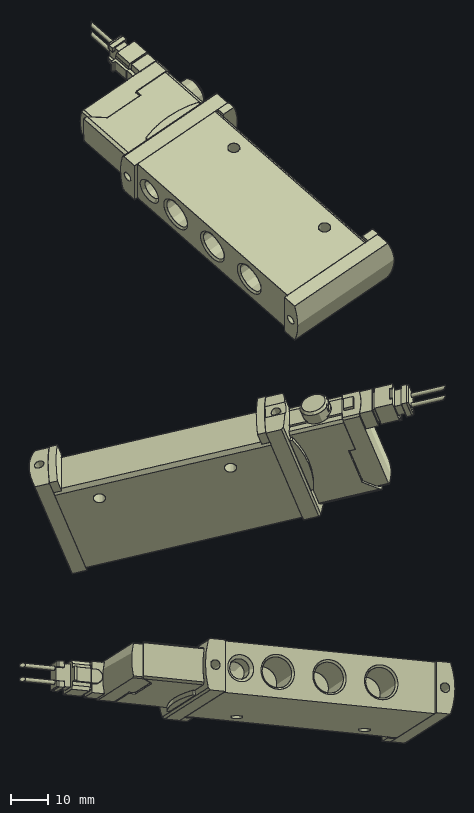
import cadquery as cq
import math


LENGTH = 115.1
WIDTH = 34.8
THICKNESS = 14.4

BLOCK_START = 48.7
BLOCK_END = 109.7
BLOCK_FRONT = 1.0
BLOCK_BACK = 29.8
BLOCK_EDGE = 1.0
TAB_LENGTH = 2.3
CROSS_HOLE_DIAMETER = 3.2
CROSS_HOLE_X = (61.6, 98.6)
CROSS_HOLE_Y = 24.2

PORT_DIAMETER = 8.5
PORT_MOUTH_DIAMETER = 9.7
PORT_DEPTH = 11.5
PORT_FIRST_X = 64.2
PORT_PITCH = 15.0
PORT_COUNT = 3
PILOT_PORT_X = 53.5
PILOT_PORT_DIAMETER = 5.6
PILOT_PORT_MOUTH_DIAMETER = 7.5
PILOT_PORT_DEPTH = 4.6
DRILL_POINT_HALF_ANGLE = 59.0

CAP_START = 43.0
CAP_CROWN = 0.8
CAP_BEVEL = 0.6
FAR_CAP_CROWN = 1.3
CAP_BACK = 34.5
BACK_CROWN = 1.2
CAP_HOLE_DIAMETER = 2.6
NEAR_CAP_HOLE_X = 45.8
FAR_CAP_HOLE_X = 112.3
GROOVE_WIDTH = 4.6
GROOVE_DEPTH = 0.9

LIP_REACH = 1.6
LIP_BOTTOM = 9.1
LIP_TOP = 28.1
LIP_SPAN = 12.9

PILOT_START = 25.8
PILOT_END = CAP_START + CAP_CROWN
PILOT_FRONT = 2.0
PILOT_BACK = BLOCK_BACK
PILOT_THICKNESS = 10.4
PILOT_BEVEL_Y = 0.9
PILOT_BEVEL_Z = 0.6
RIDGE_BACK = 30.4
RIDGE_THICKNESS = 5.8

COVER_START = 23.5
COVER_BULGE = 0.6
COVER_FRONT = 3.2
COVER_BACK = 30.3
COVER_THICKNESS = 9.8
COVER_BEVEL_Y = 0.7
COVER_BEVEL_Z = 0.3
COVER_JOINT = 28.2
HOOK_END = 29.8
HOOK_BOTTOM = 6.9
HOOK_TOP = 18.4
COVER_GAP = 0.2
BUMP_START = 24.9
BUMP_END = 27.6
BUMP_BACK = 31.1
BUMP_WIDTH = 3.9

BUTTON_X = 35.2
BUTTON_DIAMETER = 8.1
BUTTON_TOP = 33.7
BUTTON_BEVEL = 0.7
BUTTON_SLOT_WIDTH = 3.9
BUTTON_SLOT_DEPTH = 0.6

SOCKET_START = 19.8
SOCKET_FRONT = 24.3
SOCKET_BACK = 30.2
SOCKET_THICKNESS = 8.8

PLUG_START = 13.9
PLUG_THICKNESS = 8.1
PLUG_END = 19.1
PLUG_FRONT = 23.8
PLUG_BACK = 30.5
PLUG_BEVEL_Y = 0.5
PLUG_BEVEL_Z = 1.0
PLUG_TONGUE_INSET = 0.6
PLUG_FLANGE_LENGTH = 0.7
PLUG_FLANGE_BACK = 30.9
LATCH_FRONT = 23.0
LATCH_WIDTH = 3.9
LATCH_END = 22.5
LATCH_STEP = 0.2
LATCH_LIP_FRONT = 22.2
COLLAR_START = 9.8
COLLAR_LENGTH = 2.1
COLLAR_RIM = 0.6
COLLAR_STEP = 0.1
COLLAR_FRONT = 24.5
COLLAR_BACK = 29.5
COLLAR_THICKNESS = 7.4
COLLAR_NOTCH = 3.9
NECK_FRONT = 25.3
NECK_BACK = 28.8
NECK_THICKNESS = 6.5

LEAD_DIAMETER = 1.3
LEAD_Y = 26.7
LEAD_SPACING = 3.9


def block(x_range, y_range, thickness):
    """Box between two X and two Y values, centred on Z = 0."""
    x_size = x_range[1] - x_range[0]
    y_size = y_range[1] - y_range[0]
    box = cq.Workplane("XY").box(x_size, y_size, thickness)
    return box.translate((x_range[0] + x_size / 2, y_range[0] + y_size / 2, 0))


def plate(points, thickness):
    """Polygon in the XY plane, thickened evenly about Z = 0."""
    return cq.Workplane("XY").polyline(points).close().extrude(thickness / 2, both=True)


def pin_y(x, y_start, y_end, diameter):
    """Cylinder along Y, centred on Z = 0."""
    circle = cq.Workplane("XZ", origin=(x, y_start, 0)).circle(diameter / 2)
    return circle.extrude(y_start - y_end)


def turned_y(x, profile):
    """Solid of revolution about a line along Y at the given X; the profile lists (radius, y)."""
    sketch = cq.Workplane("XY", origin=(x, 0, 0)).polyline(profile).close()
    return sketch.revolve(360, (0, 0, 0), (0, 1, 0))


def near_cap_outline():
    """Near cap in the XZ plane, with a crowned outer end between two corner bevels."""
    bevel_x = CAP_START + CAP_CROWN
    half = THICKNESS / 2
    return (
        cq.Workplane("XZ")
        .moveTo(BLOCK_START, -half)
        .lineTo(bevel_x + CAP_BEVEL, -half)
        .lineTo(bevel_x, -half + CAP_BEVEL)
        .threePointArc((CAP_START, 0), (bevel_x, half - CAP_BEVEL))
        .lineTo(bevel_x + CAP_BEVEL, half)
        .lineTo(BLOCK_START, half)
        .close()
    )


def far_cap_outline():
    """Far cap in the XZ plane, with a crowned outer end."""
    corner_x = LENGTH - FAR_CAP_CROWN
    return (
        cq.Workplane("XZ")
        .moveTo(BLOCK_END, -THICKNESS / 2)
        .lineTo(corner_x, -THICKNESS / 2)
        .threePointArc((LENGTH, 0), (corner_x, THICKNESS / 2))
        .lineTo(BLOCK_END, THICKNESS / 2)
        .close()
    )


def crowned_envelope(back):
    """Full-length space under a crowned back that peaks at the given Y."""
    corner_y = back - BACK_CROWN
    return (
        cq.Workplane("YZ")
        .moveTo(0, -THICKNESS / 2)
        .lineTo(corner_y, -THICKNESS / 2)
        .threePointArc((back, 0), (corner_y, THICKNESS / 2))
        .lineTo(0, THICKNESS / 2)
        .close()
        .extrude(LENGTH)
    )


def make_far_cap():
    """Far end cap with its crossing mounting hole."""
    cap = far_cap_outline().extrude(-WIDTH).intersect(crowned_envelope(CAP_BACK))
    return cap.cut(pin_y(FAR_CAP_HOLE_X, 0, WIDTH, CAP_HOLE_DIAMETER))


def make_near_cap():
    """Near end cap with its lip, back groove and crossing mounting hole."""
    cap = near_cap_outline().extrude(-WIDTH).intersect(crowned_envelope(CAP_BACK))
    cap = cap.union(make_lip()).cut(cap_groove())
    return cap.cut(pin_y(NEAR_CAP_HOLE_X, 0, WIDTH, CAP_HOLE_DIAMETER))


def make_lip():
    """Curved lip standing out from the near cap, wider in Z than the pilot valve it holds."""
    lip_back = CAP_START + CAP_CROWN + CAP_BEVEL
    middle_y = (LIP_BOTTOM + LIP_TOP) / 2
    return (
        cq.Workplane("XY")
        .moveTo(lip_back, LIP_BOTTOM)
        .lineTo(CAP_START, LIP_BOTTOM)
        .threePointArc((CAP_START - LIP_REACH, middle_y), (CAP_START, LIP_TOP))
        .lineTo(lip_back, LIP_TOP)
        .close()
        .extrude(LIP_SPAN / 2, both=True)
    )


def port_cutter(x):
    """Flat-bottomed port with a bevelled mouth."""
    radius = PORT_DIAMETER / 2
    mouth = PORT_MOUTH_DIAMETER / 2
    bottom = BLOCK_FRONT + PORT_DEPTH
    bevel_end = BLOCK_FRONT + mouth - radius
    profile = [(0, BLOCK_FRONT), (mouth, BLOCK_FRONT), (radius, bevel_end), (radius, bottom), (0, bottom)]
    return turned_y(x, profile)


def pilot_port_cutter():
    """Smaller port with a bevelled mouth and a drill-point bottom."""
    radius = PILOT_PORT_DIAMETER / 2
    mouth = PILOT_PORT_MOUTH_DIAMETER / 2
    bevel_end = BLOCK_FRONT + mouth - radius
    bottom = BLOCK_FRONT + PILOT_PORT_DEPTH
    tip = bottom + radius / math.tan(math.radians(DRILL_POINT_HALF_ANGLE))
    profile = [(0, BLOCK_FRONT), (mouth, BLOCK_FRONT), (radius, bevel_end), (radius, bottom), (0, tip)]
    return turned_y(PILOT_PORT_X, profile)


def cap_groove():
    """Round-bottomed groove along X across the crown of the near cap."""
    radius = ((GROOVE_WIDTH / 2) ** 2 + GROOVE_DEPTH**2) / (2 * GROOVE_DEPTH)
    centre_y = CAP_BACK - GROOVE_DEPTH + radius
    circle = cq.Workplane("YZ").center(centre_y, 0).circle(radius)
    return circle.extrude(BLOCK_START)


def make_tabs():
    """Two crowned tabs that stand on the back of the block against the end caps."""
    near_tab = block((BLOCK_START, BLOCK_START + TAB_LENGTH), (BLOCK_BACK, WIDTH), THICKNESS)
    far_tab = block((BLOCK_END - TAB_LENGTH, BLOCK_END), (BLOCK_BACK, WIDTH), THICKNESS)
    return near_tab.union(far_tab).intersect(crowned_envelope(WIDTH))


def make_valve_block():
    """Valve block with its tabs, ports and cross holes."""
    valve_block = block((BLOCK_START, BLOCK_END), (BLOCK_FRONT, BLOCK_BACK), THICKNESS)
    valve_block = valve_block.edges("|X and >Y").chamfer(BLOCK_EDGE)
    valve_block = valve_block.union(make_tabs())
    for x in CROSS_HOLE_X:
        hole = cq.Workplane("XY").center(x, CROSS_HOLE_Y).circle(CROSS_HOLE_DIAMETER / 2)
        valve_block = valve_block.cut(hole.extrude(THICKNESS / 2, both=True))
    for index in range(PORT_COUNT):
        valve_block = valve_block.cut(port_cutter(PORT_FIRST_X + index * PORT_PITCH))
    return valve_block.cut(pilot_port_cutter())


def bevelled_envelope(front, back, thickness, bevel_y, bevel_z):
    """Bar from X = 0 to the near cap, bevelled along its front and back edges."""
    half = thickness / 2
    points = [
        (front, -half + bevel_z),
        (front + bevel_y, -half),
        (back - bevel_y, -half),
        (back, -half + bevel_z),
        (back, half - bevel_z),
        (back - bevel_y, half),
        (front + bevel_y, half),
        (front, half - bevel_z),
    ]
    return cq.Workplane("YZ").polyline(points).close().extrude(PILOT_END)


def make_pilot_body():
    """Main block of the pilot valve, with a stepped and sloping end that follows the cover."""
    step_x = HOOK_END + COVER_GAP
    points = [
        (PILOT_START, PILOT_FRONT),
        (PILOT_END, PILOT_FRONT),
        (PILOT_END, PILOT_BACK),
        (COVER_JOINT, PILOT_BACK),
        (COVER_JOINT, HOOK_TOP + COVER_GAP),
        (step_x, HOOK_TOP + COVER_GAP),
        (step_x, HOOK_BOTTOM - COVER_GAP),
        (PILOT_START, HOOK_BOTTOM - COVER_GAP - (step_x - PILOT_START)),
    ]
    body = plate(points, PILOT_THICKNESS)
    envelope = bevelled_envelope(PILOT_FRONT, PILOT_BACK, PILOT_THICKNESS, PILOT_BEVEL_Y, PILOT_BEVEL_Z)
    ridge = block((COVER_JOINT, PILOT_END), (PILOT_BACK, RIDGE_BACK), RIDGE_THICKNESS)
    return body.intersect(envelope).union(ridge)


def make_cover():
    """Hooked cover with a bulged outer face and a small raised bump."""
    slope = HOOK_BOTTOM - COVER_FRONT
    face_x = COVER_START - COVER_BULGE
    points = [
        (face_x, COVER_FRONT),
        (HOOK_END - slope, COVER_FRONT),
        (HOOK_END, HOOK_BOTTOM),
        (HOOK_END, HOOK_TOP),
        (COVER_JOINT, HOOK_TOP),
        (COVER_JOINT, COVER_BACK),
        (face_x, COVER_BACK),
    ]
    half = COVER_THICKNESS / 2
    bulged_section = (
        cq.Workplane("XZ")
        .moveTo(COVER_START, -half)
        .lineTo(HOOK_END, -half)
        .lineTo(HOOK_END, half)
        .lineTo(COVER_START, half)
        .threePointArc((face_x, 0), (COVER_START, -half))
        .close()
        .extrude(-WIDTH)
    )
    envelope = bevelled_envelope(COVER_FRONT, COVER_BACK, COVER_THICKNESS, COVER_BEVEL_Y, COVER_BEVEL_Z)
    bump = block((BUMP_START, BUMP_END), (SOCKET_FRONT, BUMP_BACK), BUMP_WIDTH)
    return plate(points, COVER_THICKNESS).intersect(bulged_section).intersect(envelope).union(bump)


def make_button():
    """Round manual override button with a bevelled rim and a shallow side slot."""
    button = pin_y(BUTTON_X, PILOT_BACK, BUTTON_TOP, BUTTON_DIAMETER)
    button = button.faces(">Y").chamfer(BUTTON_BEVEL)
    side_x = BUTTON_X - BUTTON_DIAMETER / 2
    slot_y = (BUMP_BACK, BUTTON_TOP - BUTTON_BEVEL)
    return button.cut(block((side_x, side_x + BUTTON_SLOT_DEPTH), slot_y, BUTTON_SLOT_WIDTH))


def make_socket():
    """Socket that joins the cover to the plug."""
    return block((SOCKET_START, COVER_START), (SOCKET_FRONT, SOCKET_BACK), SOCKET_THICKNESS)


def make_pilot():
    """Pilot valve with its cover, button and socket."""
    return make_pilot_body().union(make_cover()).union(make_button()).union(make_socket())


def make_plug_body():
    """Plug with a flange, a tongue that meets the socket and a round-ended latch under it."""
    half = PLUG_THICKNESS / 2
    section = [
        (PLUG_BACK, -half),
        (PLUG_FRONT + PLUG_BEVEL_Y, -half),
        (PLUG_FRONT, -half + PLUG_BEVEL_Z),
        (PLUG_FRONT, half - PLUG_BEVEL_Z),
        (PLUG_FRONT + PLUG_BEVEL_Y, half),
        (PLUG_BACK, half),
    ]
    outline = cq.Workplane("YZ", origin=(PLUG_START, 0, 0)).polyline(section).close()
    body = outline.extrude(PLUG_END - PLUG_START)
    tongue_y = (SOCKET_FRONT + PLUG_TONGUE_INSET, SOCKET_BACK - PLUG_TONGUE_INSET)
    tongue = block((PLUG_END, SOCKET_START), tongue_y, PLUG_THICKNESS - 2 * PLUG_TONGUE_INSET)
    flange_x = (PLUG_START, PLUG_START + PLUG_FLANGE_LENGTH)
    flange = block(flange_x, (LATCH_LIP_FRONT, PLUG_FLANGE_BACK), LATCH_WIDTH)
    radius = LATCH_WIDTH / 2
    latch = block((PLUG_START, PLUG_END), (LATCH_FRONT, SOCKET_FRONT), LATCH_WIDTH)
    tip_front = LATCH_FRONT + LATCH_STEP
    latch_tip = block((PLUG_END, LATCH_END - radius), (tip_front, SOCKET_FRONT), LATCH_WIDTH)
    latch_round = pin_y(LATCH_END - radius, tip_front, SOCKET_FRONT, LATCH_WIDTH)
    latch = latch.union(latch_tip).union(latch_round)
    return body.union(tongue).union(flange).union(latch)


def make_neck():
    """Neck of the plug, with a stepped collar notched on its front side."""
    neck = block((COLLAR_START, PLUG_START), (NECK_FRONT, NECK_BACK), NECK_THICKNESS)
    rim_end = COLLAR_START + COLLAR_RIM
    rim_y = (COLLAR_FRONT + COLLAR_STEP, COLLAR_BACK - COLLAR_STEP)
    rim = block((COLLAR_START, rim_end), rim_y, COLLAR_THICKNESS - 2 * COLLAR_STEP)
    collar_end = COLLAR_START + COLLAR_LENGTH
    collar = block((rim_end, collar_end), (COLLAR_FRONT, COLLAR_BACK), COLLAR_THICKNESS)
    notch = block((COLLAR_START, collar_end), (COLLAR_FRONT, NECK_FRONT), COLLAR_NOTCH)
    return neck.union(rim).union(collar).cut(notch)


def make_leads():
    """Two round leads whose tips are cut off at a slant."""
    leads = cq.Workplane("YZ").pushPoints([(LEAD_Y, -LEAD_SPACING / 2), (LEAD_Y, LEAD_SPACING / 2)])
    leads = leads.circle(LEAD_DIAMETER / 2).extrude(COLLAR_START)
    low_y = LEAD_Y - LEAD_DIAMETER / 2
    slant = [(0, low_y), (LEAD_DIAMETER, low_y), (0, low_y + LEAD_DIAMETER)]
    return leads.cut(plate(slant, THICKNESS))


def make_connector():
    """Connector plug with its two leads."""
    return make_plug_body().union(make_neck()).union(make_leads())


def make_pilot_unit():
    """Near end cap carrying the pilot valve and its connector."""
    return make_near_cap().union(make_pilot()).union(make_connector())


valve_block = make_valve_block()
far_cap = make_far_cap()
pilot_unit = make_pilot_unit()

result = cq.Compound.makeCompound([valve_block.val(), far_cap.val(), pilot_unit.val()])